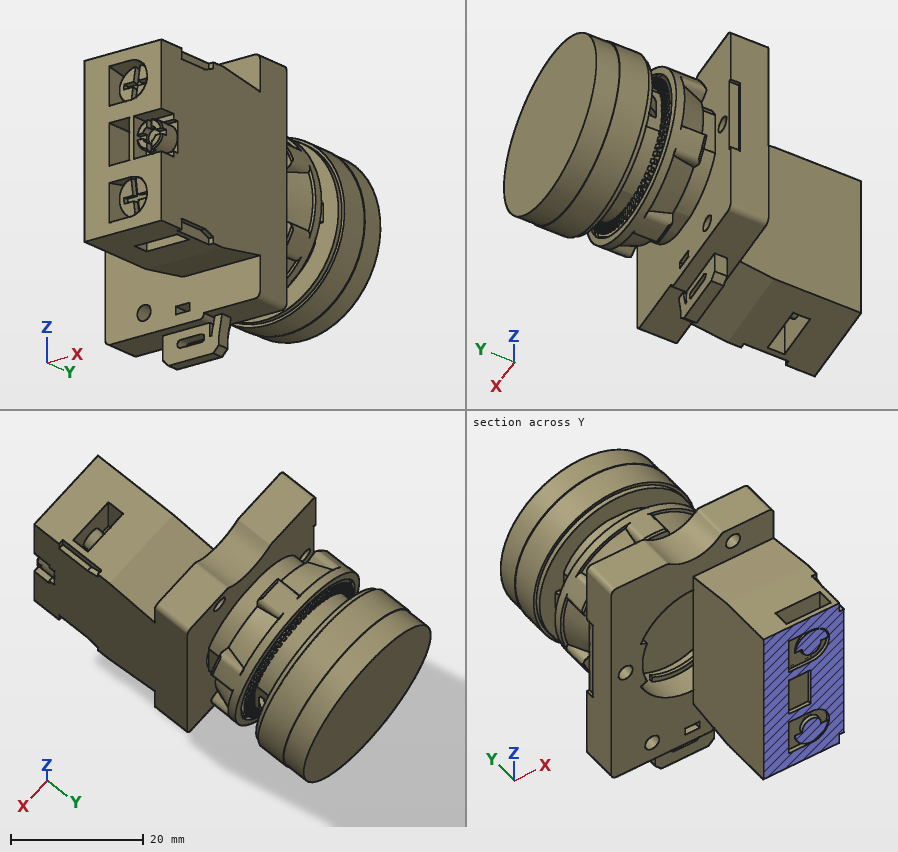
import cadquery as cq
import math


PLATE_THICK = 6.5
PLATE_HALF_WIDTH = 15.0
PLATE_TOP_LEFT = 18.5
PLATE_TOP_RIGHT = 19.5
PLATE_BOTTOM_LEFT = -20.9
PLATE_BOTTOM_RIGHT = -20.0
PLATE_STEP_X = 4.1
PLATE_CORNER_RADIUS = 1.0
STEP_CORNER_RADIUS = 0.8
NOTCH_RADIUS = 7.0
NOTCH_BOTTOM_Z = 16.86
MOUNT_HOLE_RADIUS = 1.3
MOUNT_HOLES = [(7.5, 16.7), (-7.45, -17.3), (-12.35, 0.0)]
WINDOW_WIDTH = 2.7
WINDOW_HEIGHT = 1.3
WINDOW_Z = -18.35
SIDE_RECESS_LENGTH = 15.0
SIDE_RECESS_WIDTH = 1.6
SIDE_RECESS_DEPTH = 0.5

OPENING_RADIUS = 10.5
KEY_RADIUS = 9.25
KEY_HALF_ANGLE = 25.0
TAB_RADIUS = 9.62
TAB_HALF_WIDTH = 4.5
TAB_DEPTH = 4.2
TAB_THICK = 0.6

LATCH_Y = 2.0
LATCH_THICK = 2.15
LATCH_HALF_WIDTH = 5.45
LATCH_BOTTOM = -26.0
LATCH_ROOT_Z = -19.5
LATCH_CORNER = 1.1
LATCH_FLARE_Z = -23.4
LATCH_FLARE = 0.6
LATCH_SLOT_LENGTH = 5.2
LATCH_SLOT_HEIGHT = 1.3
LATCH_SLOT_Z = -23.0
RELIEF_LEFT_X = 3.65
RELIEF_BOTTOM_Z = -23.05
RELIEF_BOTTOM_WIDTH = 0.35
RELIEF_TOP_WIDTH = 1.0

NECK_RADIUS = 10.9
NECK_FLAT_X = 10.05
NECK_FLAT_Z = 10.72
HEAD_BACK_RADIUS = 14.5
HEAD_RADIUS = 15.0
BUTTON_RADIUS = 14.86
HEAD_BACK_Y = 19.7
HEAD_Y = 20.55
BUTTON_Y = 25.55
BUTTON_END_Y = 29.5

CLIP_WIDTH = 3.0
CLIP_ROOT_X = 9.5
CLIP_INNER_BEND_X = 10.15
CLIP_INNER_BEND_Y = 17.6
CLIP_OUTER_BEND_X = 11.02
CLIP_OUTER_BEND_Y = 17.43
CLIP_LOW_X = 10.4
CLIP_LOW_Y = 16.8
CLIP_TIP_X = 12.0
CLIP_TIP_Y = 19.3
CLIP_TIP_INNER_X = 11.0
CLIP_TIP_BEVEL_X = 0.3
CLIP_TIP_BEVEL_Y = 0.2

NUT_END_Y = 9.75
NUT_LEDGE_Y = 14.16
NUT_FLANGE_Y = 15.6
NUT_SHOULDER_Y = 15.72
NUT_TEETH_Y = 16.1
NUT_RADIUS = 14.5
NUT_SHOULDER_RADIUS = 13.3
NUT_CONE_END_RADIUS = 12.5
NUT_CONE_LEDGE_RADIUS = 13.95
NUT_END_BEVEL_LENGTH = 0.4
NUT_END_BEVEL = 0.2
RIB_COUNT = 6
RIB_WIDTH = 5.0
RIB_ROUND = 1.0
TEETH_RADIUS = 12.6
TOOTH_COUNT = 60
TOOTH_WIDTH = 0.66

BLOCK_LEFT_X = 0.1
BLOCK_RIGHT_X = PLATE_HALF_WIDTH
BLOCK_DEPTH = 24.0
BLOCK_HALF_HEIGHT = 14.65
BLOCK_ROOT_HALF_HEIGHT = 13.25
BLOCK_RAMP_DEPTH = 9.0
POCKET_LEFT_X = 4.88

TERMINAL_X = 9.02
TERMINAL_Z = 9.44
TERMINAL_RADIUS = 3.2
TERMINAL_TILT = 10.0
TERMINAL_DEPTH = 6.0
SCREW_HEAD_DEPTH = 1.25
SCREW_HEAD_RADIUS = 3.1
SCREW_HEAD_THICK = 4.2
SCREW_SHAFT_RADIUS = 1.75
SCREW_SHAFT_LENGTH = 9.5
SCREW_SLOT_WIDTH = 0.89
SCREW_SLOT_DEPTH = 1.0
SCREW_SHORT_SLOT = 4.53
WIRE_SLOT_Y = (-17.8, -14.9)
WIRE_SLOT_LENGTH = 8.2
WIRE_SLOT_FLOOR_Z = 5.5

MIDDLE_POCKET_WIDTH = 3.94
MIDDLE_HALF_HEIGHT = 3.46
MIDDLE_POCKET_DEPTH = 6.0
SIDE_NOTCH_LEFT_X = 9.64
SIDE_NOTCH_DEPTH = 3.0
CRADLE_RADIUS = 2.57
CRADLE_DEPTH = 4.0
CAPTIVE_X = 12.4
CAPTIVE_RADIUS = 2.52
CAPTIVE_HEAD_DEPTH = 0.3
CAPTIVE_CHAMFER = 0.25
CAPTIVE_BORE_RADIUS = 1.3
CAPTIVE_BORE_DEPTH = 1.5

EDGE_RECESS_WIDTH = 0.87
EDGE_RECESS_Y = (-19.03, -11.36)
EDGE_RECESS_SHALLOW = 1.0
EDGE_RECESS_DEEP = 1.75
EDGE_RECESS_RAMP = 2.0


def box(x, y, z):
    """Box from (low, high) pairs along each axis."""
    corner = cq.Vector(x[0], y[0], z[0])
    return cq.Workplane(cq.Solid.makeBox(x[1] - x[0], y[1] - y[0], z[1] - z[0], corner))


def cylinder(radius, y, x=0.0, z=0.0):
    """Cylinder along +Y between y[0] and y[1]."""
    solid = cq.Solid.makeCylinder(radius, y[1] - y[0], cq.Vector(x, y[0], z), cq.Vector(0, 1, 0))
    return cq.Workplane(solid)


def prism_along_y(points, y):
    """Extrude an X-Z outline between y[0] and y[1]."""
    plane = cq.Workplane("XZ", origin=(0, y[0], 0))
    return plane.polyline(points).close().extrude(y[0] - y[1])


def round_at(solid, x, z, radius):
    """Round the Y-direction edge that passes through (x, z)."""
    return solid.edges(cq.selectors.NearestToPointSelector((x, PLATE_THICK / 2, z))).fillet(radius)


def make_opening():
    """Round opening with a full-depth key on the left and two deeper locking tabs."""
    depth = (0, PLATE_THICK)
    opening = cylinder(OPENING_RADIUS, depth)
    reach = 2 * OPENING_RADIUS
    rise = reach * math.tan(math.radians(KEY_HALF_ANGLE))
    key = prism_along_y([(0, 0), (-reach, rise), (-reach, -rise)], depth)
    opening = opening.cut(key.cut(cylinder(KEY_RADIUS, depth)))
    tab_y = (TAB_DEPTH, TAB_DEPTH + TAB_THICK)
    tabs = box((-TAB_HALF_WIDTH, TAB_HALF_WIDTH), tab_y, (-reach, reach))
    return opening.cut(tabs.cut(cylinder(TAB_RADIUS, tab_y)))


def make_plate():
    depth = (0, PLATE_THICK)
    left, right = -PLATE_HALF_WIDTH, PLATE_HALF_WIDTH
    plate = prism_along_y(
        [
            (left, PLATE_BOTTOM_LEFT),
            (PLATE_STEP_X, PLATE_BOTTOM_LEFT),
            (PLATE_STEP_X, PLATE_BOTTOM_RIGHT),
            (right, PLATE_BOTTOM_RIGHT),
            (right, PLATE_TOP_RIGHT),
            (0, PLATE_TOP_RIGHT),
            (0, PLATE_TOP_LEFT),
            (left, PLATE_TOP_LEFT),
        ],
        depth,
    )
    notch_z = NOTCH_BOTTOM_Z + NOTCH_RADIUS
    plate = plate.cut(cylinder(NOTCH_RADIUS, depth, z=notch_z))

    left_lip = -math.sqrt(NOTCH_RADIUS**2 - (notch_z - PLATE_TOP_LEFT) ** 2)
    right_lip = math.sqrt(NOTCH_RADIUS**2 - (notch_z - PLATE_TOP_RIGHT) ** 2)
    for x, z in [
        (left, PLATE_BOTTOM_LEFT),
        (right, PLATE_BOTTOM_RIGHT),
        (left, PLATE_TOP_LEFT),
        (right, PLATE_TOP_RIGHT),
        (left_lip, PLATE_TOP_LEFT),
        (right_lip, PLATE_TOP_RIGHT),
    ]:
        plate = round_at(plate, x, z, PLATE_CORNER_RADIUS)
    plate = round_at(plate, PLATE_STEP_X, PLATE_BOTTOM_LEFT, STEP_CORNER_RADIUS)

    for x, z in MOUNT_HOLES:
        plate = plate.cut(cylinder(MOUNT_HOLE_RADIUS, depth, x, z))
    half_window = WINDOW_HEIGHT / 2
    plate = plate.cut(
        box((-WINDOW_WIDTH / 2, WINDOW_WIDTH / 2), depth, (WINDOW_Z - half_window, WINDOW_Z + half_window))
    )
    plate = plate.cut(
        box(
            (left, left + SIDE_RECESS_DEPTH),
            (PLATE_THICK - SIDE_RECESS_WIDTH, PLATE_THICK),
            (-SIDE_RECESS_LENGTH / 2, SIDE_RECESS_LENGTH / 2),
        )
    )
    return plate.cut(make_opening())


def make_latch():
    """Flat spring latch that hangs below the plate."""
    depth = (LATCH_Y, LATCH_Y + LATCH_THICK)
    half = LATCH_HALF_WIDTH
    latch = prism_along_y(
        [
            (-half, PLATE_BOTTOM_LEFT),
            (-half, LATCH_BOTTOM + LATCH_CORNER),
            (-half + LATCH_CORNER, LATCH_BOTTOM),
            (half - LATCH_CORNER, LATCH_BOTTOM),
            (half, LATCH_BOTTOM + LATCH_CORNER),
            (half, LATCH_FLARE_Z),
            (half + LATCH_FLARE, PLATE_BOTTOM_RIGHT),
            (half + LATCH_FLARE, LATCH_ROOT_Z),
            (PLATE_STEP_X, LATCH_ROOT_Z),
            (PLATE_STEP_X, PLATE_BOTTOM_LEFT),
        ],
        depth,
    )
    slot = (
        cq.Workplane("XZ", origin=(0, depth[0], LATCH_SLOT_Z))
        .slot2D(LATCH_SLOT_LENGTH, LATCH_SLOT_HEIGHT)
        .extrude(-LATCH_THICK)
    )
    relief = prism_along_y(
        [
            (RELIEF_LEFT_X, RELIEF_BOTTOM_Z),
            (RELIEF_LEFT_X + RELIEF_BOTTOM_WIDTH, RELIEF_BOTTOM_Z),
            (RELIEF_LEFT_X + RELIEF_TOP_WIDTH, PLATE_BOTTOM_RIGHT),
            (RELIEF_LEFT_X, PLATE_BOTTOM_RIGHT),
        ],
        depth,
    )
    return latch.cut(slot).cut(relief)


def make_button():
    """Flatted neck, stepped head and button cap."""
    neck_y = (PLATE_THICK, HEAD_BACK_Y)
    flats = box((-NECK_FLAT_X, NECK_FLAT_X), neck_y, (-NECK_FLAT_Z, NECK_FLAT_Z))
    neck = cylinder(NECK_RADIUS, neck_y).intersect(flats)
    return (
        neck.union(cylinder(HEAD_BACK_RADIUS, (HEAD_BACK_Y, HEAD_Y)))
        .union(cylinder(HEAD_RADIUS, (HEAD_Y, BUTTON_Y)))
        .union(cylinder(BUTTON_RADIUS, (BUTTON_Y, BUTTON_END_Y)))
    )


def make_clip():
    """Bent spring clip on the -X side of the neck."""
    outline = [
        (CLIP_ROOT_X, CLIP_INNER_BEND_Y),
        (CLIP_INNER_BEND_X, CLIP_INNER_BEND_Y),
        (CLIP_TIP_INNER_X, CLIP_TIP_Y),
        (CLIP_TIP_X - CLIP_TIP_BEVEL_X, CLIP_TIP_Y),
        (CLIP_TIP_X, CLIP_TIP_Y - CLIP_TIP_BEVEL_Y),
        (CLIP_OUTER_BEND_X, CLIP_OUTER_BEND_Y),
        (CLIP_LOW_X, CLIP_LOW_Y),
        (CLIP_ROOT_X, CLIP_LOW_Y),
    ]
    plane = cq.Workplane("XY", origin=(0, 0, -CLIP_WIDTH / 2))
    return plane.polyline([(-x, y) for x, y in outline]).close().extrude(CLIP_WIDTH)


def revolve_about_y(points):
    """Revolve a (radius, y) outline about the Y axis."""
    return cq.Workplane("XY").polyline(points).close().revolve(360, (0, 0, 0), (0, 1, 0))


def make_nut():
    """Fixing nut: tapered skirt with grip ribs, flange and a ring of radial teeth."""
    nut = revolve_about_y(
        [
            (0, NUT_END_Y),
            (NUT_CONE_END_RADIUS - NUT_END_BEVEL, NUT_END_Y),
            (NUT_CONE_END_RADIUS, NUT_END_Y + NUT_END_BEVEL_LENGTH),
            (NUT_CONE_LEDGE_RADIUS, NUT_LEDGE_Y),
            (NUT_RADIUS, NUT_LEDGE_Y),
            (NUT_RADIUS, NUT_FLANGE_Y),
            (NUT_SHOULDER_RADIUS, NUT_SHOULDER_Y),
            (0, NUT_SHOULDER_Y),
        ]
    )
    envelope = revolve_about_y(
        [
            (0, NUT_END_Y),
            (NUT_RADIUS - NUT_END_BEVEL, NUT_END_Y),
            (NUT_RADIUS, NUT_END_Y + NUT_END_BEVEL_LENGTH),
            (NUT_RADIUS, NUT_LEDGE_Y),
            (0, NUT_LEDGE_Y),
        ]
    )
    rib = box((-RIB_WIDTH / 2, RIB_WIDTH / 2), (NUT_END_Y, NUT_LEDGE_Y), (NECK_RADIUS, 2 * NUT_RADIUS))
    rib = rib.intersect(cylinder(NUT_RADIUS, (NUT_END_Y, NUT_LEDGE_Y)))
    rib = rib.faces(">Z").edges("|Y").fillet(RIB_ROUND).intersect(envelope)
    for index in range(RIB_COUNT):
        nut = nut.union(rib.rotate((0, 0, 0), (0, 1, 0), index * 360 / RIB_COUNT))

    ring = cylinder(TEETH_RADIUS, (NUT_SHOULDER_Y, NUT_TEETH_Y))
    ring = ring.cut(cylinder(NECK_RADIUS, (NUT_SHOULDER_Y, NUT_TEETH_Y)))
    half = TOOTH_WIDTH / 2
    spoke = box((-half, half), (NUT_SHOULDER_Y, NUT_TEETH_Y), (NECK_RADIUS, NUT_RADIUS))
    spokes = [
        spoke.rotate((0, 0, 0), (0, 1, 0), index * 360 / TOOTH_COUNT).val() for index in range(TOOTH_COUNT)
    ]
    teeth = ring.intersect(cq.Workplane(cq.Compound.makeCompound(spokes)))
    return nut.union(teeth)


def make_block_body():
    half, root = BLOCK_HALF_HEIGHT, BLOCK_ROOT_HALF_HEIGHT
    return (
        cq.Workplane("YZ", origin=(BLOCK_LEFT_X, 0, 0))
        .polyline(
            [
                (0, root),
                (-BLOCK_RAMP_DEPTH, half),
                (-BLOCK_DEPTH, half),
                (-BLOCK_DEPTH, -half),
                (-BLOCK_RAMP_DEPTH, -half),
                (0, -root),
            ]
        )
        .close()
        .extrude(BLOCK_RIGHT_X - BLOCK_LEFT_X)
    )


def make_terminal_pocket():
    """D-shaped pocket of the upper terminal; it slopes down as it runs into the block."""
    low, high = TERMINAL_Z - TERMINAL_RADIUS, TERMINAL_Z + TERMINAL_RADIUS
    outline = (
        cq.Workplane("XZ", origin=(0, -BLOCK_DEPTH, 0))
        .moveTo(POCKET_LEFT_X, low)
        .lineTo(TERMINAL_X, low)
        .threePointArc((TERMINAL_X + TERMINAL_RADIUS, TERMINAL_Z), (TERMINAL_X, high))
        .lineTo(POCKET_LEFT_X, high)
        .close()
        .val()
    )
    drop = TERMINAL_DEPTH * math.tan(math.radians(TERMINAL_TILT))
    return cq.Workplane(cq.Solid.extrudeLinear(outline, [], cq.Vector(0, TERMINAL_DEPTH, -drop)))


def make_terminal_screw():
    """Cross-slotted screw of the upper terminal, square to the tilted pocket."""
    radius, half_slot = SCREW_HEAD_RADIUS, SCREW_SLOT_WIDTH / 2
    slot_y = (0, SCREW_SLOT_DEPTH)
    screw = cylinder(radius, (0, SCREW_HEAD_THICK))
    screw = screw.union(cylinder(SCREW_SHAFT_RADIUS, (0, SCREW_SHAFT_LENGTH)))
    screw = screw.cut(box((-half_slot, half_slot), slot_y, (-radius, radius)))
    screw = screw.cut(box((-SCREW_SHORT_SLOT / 2, SCREW_SHORT_SLOT / 2), slot_y, (-half_slot, half_slot)))
    drop = SCREW_HEAD_DEPTH * math.tan(math.radians(TERMINAL_TILT))
    return screw.rotate((0, 0, 0), (1, 0, 0), -TERMINAL_TILT).translate(
        (TERMINAL_X, SCREW_HEAD_DEPTH - BLOCK_DEPTH, TERMINAL_Z - drop)
    )


def make_wire_slot():
    """Wire entry that opens at the top of the block and reaches the screw shaft."""
    half = WIRE_SLOT_LENGTH / 2
    return box((TERMINAL_X - half, TERMINAL_X + half), WIRE_SLOT_Y, (WIRE_SLOT_FLOOR_Z, BLOCK_HALF_HEIGHT))


def make_edge_recess():
    """Recess in the upper right edge: a drop, a sloping floor and then a flat."""
    near, far = EDGE_RECESS_Y
    top = BLOCK_HALF_HEIGHT
    ledge, floor = top - EDGE_RECESS_SHALLOW, top - EDGE_RECESS_DEEP
    return (
        cq.Workplane("YZ", origin=(BLOCK_RIGHT_X - EDGE_RECESS_WIDTH, 0, 0))
        .polyline([(far, top), (far, ledge), (far - EDGE_RECESS_RAMP, floor), (near, floor), (near, top)])
        .close()
        .extrude(EDGE_RECESS_WIDTH)
    )


def make_captive_screw():
    """Castellated screw head that sits in the side notch."""
    front = CAPTIVE_HEAD_DEPTH - BLOCK_DEPTH
    head = cylinder(CAPTIVE_RADIUS, (front, CRADLE_DEPTH - BLOCK_DEPTH), CAPTIVE_X)
    head = head.faces("<Y").chamfer(CAPTIVE_CHAMFER)
    head = head.cut(cylinder(CAPTIVE_BORE_RADIUS, (front, front + CAPTIVE_BORE_DEPTH), CAPTIVE_X))
    half, reach = SCREW_SLOT_WIDTH / 2, CAPTIVE_RADIUS
    slot_y = (front, front + SCREW_SLOT_DEPTH)
    head = head.cut(box((CAPTIVE_X - half, CAPTIVE_X + half), slot_y, (-reach, reach)))
    return head.cut(box((CAPTIVE_X - reach, CAPTIVE_X + reach), slot_y, (-half, half)))


def make_block():
    block = make_block_body()
    front = -BLOCK_DEPTH
    height = (-MIDDLE_HALF_HEIGHT, MIDDLE_HALF_HEIGHT)

    for cutter in [make_terminal_pocket(), make_wire_slot(), make_edge_recess()]:
        block = block.cut(cutter).cut(cutter.mirror("XY"))
    screw = make_terminal_screw()
    block = block.union(screw).union(screw.mirror("XY"))

    pocket_x = (POCKET_LEFT_X, POCKET_LEFT_X + MIDDLE_POCKET_WIDTH)
    block = block.cut(box(pocket_x, (front, front + MIDDLE_POCKET_DEPTH), height))
    block = block.cut(box((SIDE_NOTCH_LEFT_X, BLOCK_RIGHT_X), (front, front + SIDE_NOTCH_DEPTH), height))
    cradle_y = (front, front + CRADLE_DEPTH)
    block = block.cut(cylinder(CRADLE_RADIUS, cradle_y, CAPTIVE_X))
    block = block.cut(box((CAPTIVE_X, BLOCK_RIGHT_X), cradle_y, (-CRADLE_RADIUS, CRADLE_RADIUS)))
    return block.union(make_captive_screw())


clip = make_clip()
result = (
    make_plate()
    .union(make_latch())
    .union(make_button())
    .union(clip)
    .union(clip.mirror("YZ"))
    .union(make_nut())
    .union(make_block())
)